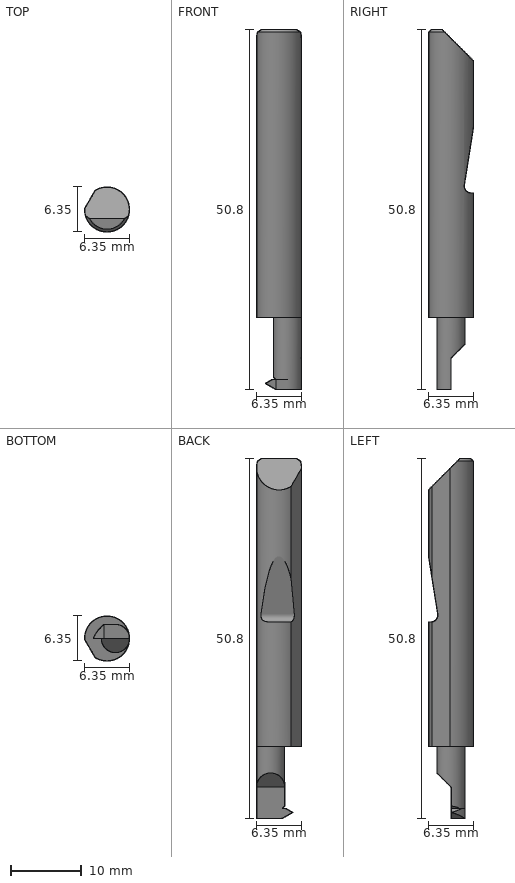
import cadquery as cq
import math

overall_length = 50.8
shank_diameter = 6.35
shank_radius = shank_diameter / 2
shank_start = 10.16
end_chamfer = 0.4
end_bevel_y = -1.27

flat_distance = 2.81
flat_direction = 150

notch_bottom = 27.75
notch_floor_y = 1.88
notch_corner_radius = 0.95
notch_slope = 9

neck_radius = 1.99
neck_x = shank_radius - neck_radius
rake_runout = 4.45

tooth_tip_x = -1.94
tooth_tip_z = 0.87
tooth_height = 1.46
flank_angle = 30
relief_radius = 5.0
undercut_height = 0.3
undercut_depth = 0.35

cutter_size = 2 * overall_length


def extrude_along_x(points):
    """Prism through the whole part from an outline of (Y, Z) points."""
    return cq.Workplane("YZ").polyline(points).close().extrude(shank_diameter, both=True)


def extrude_along_y(points):
    """Prism through the whole part from an outline of (X, Z) points."""
    return cq.Workplane("XZ").polyline(points).close().extrude(shank_diameter, both=True)


def make_shank():
    shank = (
        cq.Workplane("XY", origin=(0, 0, shank_start))
        .circle(shank_radius)
        .extrude(overall_length - shank_start)
        .faces(">Z")
        .chamfer(end_chamfer)
    )
    return shank.cut(flat_cutter()).cut(end_bevel_cutter()).cut(notch_cutter())


def flat_cutter():
    return (
        cq.Workplane("XY")
        .box(shank_diameter, cutter_size, cutter_size)
        .translate((flat_distance + shank_radius, 0, 0))
        .rotate((0, 0, 0), (0, 0, 1), flat_direction)
    )


def end_bevel_cutter():
    """45 degree bevel across the back of the shank end."""
    run = shank_diameter
    return extrude_along_x([
        (end_bevel_y, overall_length),
        (end_bevel_y + run, overall_length),
        (end_bevel_y + run, overall_length - run),
    ])


def notch_cutter():
    slope = math.radians(notch_slope)
    outer_y = shank_diameter
    center_y = notch_floor_y + notch_corner_radius
    center_z = notch_bottom + notch_corner_radius
    tangent_y = center_y - notch_corner_radius * math.cos(slope)
    tangent_z = center_z + notch_corner_radius * math.sin(slope)
    slope_end_z = tangent_z + (outer_y - tangent_y) / math.tan(slope)
    return (
        cq.Workplane("YZ")
        .moveTo(outer_y, notch_bottom)
        .lineTo(center_y, notch_bottom)
        .radiusArc((tangent_y, tangent_z), notch_corner_radius)
        .lineTo(outer_y, slope_end_z)
        .close()
        .extrude(shank_diameter, both=True)
    )


def make_neck():
    neck = (
        cq.Workplane("XY", origin=(neck_x, 0, 0))
        .circle(neck_radius)
        .extrude(shank_start)
    )
    back = shank_radius
    rake_cutter = extrude_along_x([
        (0, 0),
        (back, 0),
        (back, rake_runout + back),
        (0, rake_runout),
    ])
    return neck.cut(rake_cutter)


def undercut_cutter():
    """Wedge whose sloped face continues outward past the side of the neck."""
    neck_side = neck_x - neck_radius
    outer_x = neck_side - undercut_depth
    return extrude_along_y([
        (neck_side + undercut_depth, tooth_height),
        (outer_x, tooth_height + 2 * undercut_height),
        (outer_x, tooth_height),
    ])


def flank_x(height):
    """X of the tooth flank at the given height."""
    return tooth_tip_x + abs(height - tooth_tip_z) / math.tan(math.radians(flank_angle))


def make_tooth():
    """Tooth: its relieved plan shape limited to the height band between its flanks."""
    plan = (
        cq.Workplane("XY")
        .moveTo(tooth_tip_x, 0)
        .radiusArc((flank_x(0), -neck_radius), -relief_radius)
        .lineTo(neck_x, -neck_radius)
        .lineTo(neck_x, 0)
        .close()
        .extrude(tooth_height)
    )
    profile = extrude_along_y([
        (tooth_tip_x, tooth_tip_z),
        (flank_x(tooth_height), tooth_height),
        (neck_x, tooth_height),
        (neck_x, 0),
        (flank_x(0), 0),
    ])
    return plan.intersect(profile)


def lower_flank_cutter():
    """Clears the neck below the lower flank of the tooth."""
    return extrude_along_y([
        (tooth_tip_x, tooth_tip_z),
        (flank_x(0), 0),
        (tooth_tip_x, 0),
    ])


neck = make_neck().cut(undercut_cutter()).cut(lower_flank_cutter())
result = make_shank().union(neck).union(make_tooth())